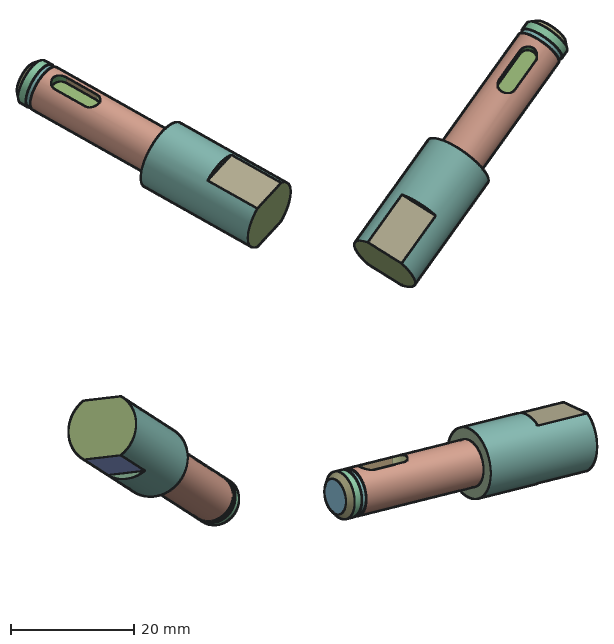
import cadquery as cq

total_length = 48.5
tip_x = -total_length / 2
end_x = total_length / 2

shaft_diameter = 8.0
shaft_length = 27.0
head_diameter = 12.0
head_length = total_length - shaft_length
tip_chamfer = 1.0

groove_offset = 2.5
groove_width = 0.85
groove_depth = 0.15

slot_offset = 5.15
slot_length = 9.1
slot_width = 3.1
slot_floor_z = 2.25

flat_length = 10.0
across_flats = 10.0


def cylinder_along_x(start_x, length, diameter):
    return cq.Workplane("YZ", origin=(start_x, 0, 0)).circle(diameter / 2).extrude(length)


def retaining_groove():
    start_x = tip_x + groove_offset
    floor_diameter = shaft_diameter - 2 * groove_depth
    ring = cylinder_along_x(start_x, groove_width, head_diameter)
    return ring.cut(cylinder_along_x(start_x, groove_width, floor_diameter))


def top_slot():
    center_x = tip_x + slot_offset + slot_length / 2
    return (
        cq.Workplane("XY", origin=(center_x, 0, slot_floor_z))
        .slot2D(slot_length, slot_width)
        .extrude(shaft_diameter / 2)
    )


def wrench_flat(side):
    """Block outside one flat: side is +1 for the top and -1 for the bottom."""
    block_height = head_diameter / 2
    center_x = end_x - flat_length / 2
    center_z = side * (across_flats + block_height) / 2
    block = cq.Workplane("XY").box(flat_length, head_diameter, block_height)
    return block.translate((center_x, 0, center_z))


shaft = cylinder_along_x(tip_x, shaft_length, shaft_diameter).faces("<X").chamfer(tip_chamfer)
head = cylinder_along_x(end_x - head_length, head_length, head_diameter)

result = shaft.union(head).cut(retaining_groove()).cut(top_slot())
for side in (1, -1):
    result = result.cut(wrench_flat(side))